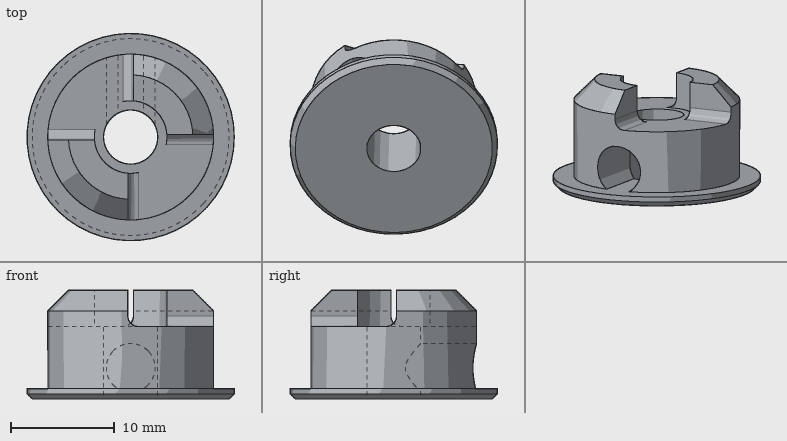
import cadquery as cq

flange_diameter = 20.0
flange_height = 1.0
flange_chamfer = 0.5

hub_diameter = 16.0
hub_radius = hub_diameter / 2
bore_diameter = 5.2
floor_height = 7.0

total_height = 10.5
lug_height = total_height - floor_height
lug_chamfer = 2.0
lug_inner_diameter = 7.0
lug_side_offset = 0.25
root_fillet = 1.0

side_hole_diameter = 4.7
side_hole_height = 3.0


def make_cylinder(diameter, bottom, top):
    base = cq.Workplane("XY", origin=(0, 0, bottom))
    return base.circle(diameter / 2).extrude(top - bottom)


def make_flange():
    return make_cylinder(flange_diameter, 0, flange_height).faces("<Z").chamfer(flange_chamfer)


def make_hub():
    """Full-height hub with its top edge chamfered and the radial hole in its wall."""
    hub = make_cylinder(hub_diameter, 0, total_height).faces(">Z").chamfer(lug_chamfer)
    side_hole = (
        cq.Workplane("XZ", origin=(0, 0, side_hole_height))
        .circle(side_hole_diameter / 2)
        .extrude(-hub_radius)
    )
    return hub.cut(side_hole)


def make_root_strip():
    """Concave fillet at the foot of the lug side that faces -Y."""
    side = lug_side_offset
    arc_inset = root_fillet * (1 - 0.5**0.5)
    return (
        cq.Workplane("YZ")
        .moveTo(side, floor_height)
        .lineTo(side - root_fillet, floor_height)
        .threePointArc(
            (side - arc_inset, floor_height + arc_inset),
            (side, floor_height + root_fillet),
        )
        .close()
        .extrude(flange_diameter / 2)
    )


def make_lug_block():
    """Oversized block for the +X +Y lug, with root fillets along both flat sides."""
    block = (
        cq.Workplane("XY", origin=(lug_side_offset, lug_side_offset, floor_height))
        .rect(flange_diameter / 2, flange_diameter / 2, centered=False)
        .extrude(lug_height)
    )
    strip = make_root_strip()
    swapped_strip = strip.rotate((0, 0, 0), (0, 0, 1), -90).mirror("XZ")
    return block.union(strip).union(swapped_strip)


def make_lug_clearance():
    """Everything above the floor that is not a lug."""
    clearance = make_cylinder(flange_diameter, floor_height, total_height)
    block = make_lug_block()
    for angle in (0, 180):
        clearance = clearance.cut(block.rotate((0, 0, 0), (0, 0, 1), angle))
    return clearance.union(make_cylinder(lug_inner_diameter, floor_height, total_height))


result = (
    make_hub()
    .cut(make_lug_clearance())
    .union(make_flange())
    .cut(make_cylinder(bore_diameter, 0, total_height))
)